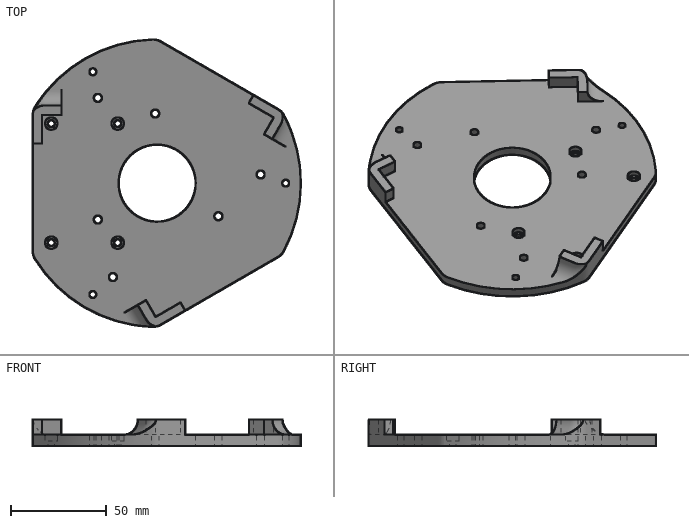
import cadquery as cq
import math

disc_radius = 75.0
plate_thickness = 6.0
flat_distance = disc_radius * math.cos(math.radians(30))
corner_radius = 8.0
bore_diameter = 40.0
third_turns = (0, 120, 240)

total_height = 14.0
stop_height = total_height - plate_thickness
stop_wall = 5.0
stop_length = 15.0
stop_width = 20.0
stop_outer_y = 40.5
ramp_radius = stop_height
stop_corner_radius = 8.0

hole_patterns = (
    (3.5, 67.0, 0.0),
    (4.0, 54.1, 4.8),
    (4.0, 36.3, -28.4),
)

screw_diameter = 3.5
counterbore_diameter = 6.5
counterbore_depth = 3.5
screw_columns = (-55.2, -20.5)
screw_row = 31.0


def turned(body, angle):
    """Rotate a body about the plate's vertical axis."""
    return body.rotate((0, 0, 0), (0, 0, 1), angle)


def outline_prism(height):
    """Plate outline, with rounded flat ends, extruded from the underside."""
    prism = cq.Workplane("XY").circle(disc_radius).extrude(height)
    cutter = cq.Workplane("XY").box(
        disc_radius, 2 * disc_radius, height, centered=(False, True, False)
    ).translate((-flat_distance - disc_radius, 0, 0))
    for angle in third_turns:
        prism = prism.cut(turned(cutter, angle))
    return prism.edges("|Z").fillet(corner_radius)


def ramp_profile(foot):
    """Concave triangular section on the YZ plane, upright side at Y = foot."""
    arc_offset = ramp_radius * (1 - math.sqrt(0.5))
    return (
        cq.Workplane("YZ")
        .moveTo(foot, 0)
        .lineTo(foot + ramp_radius, 0)
        .threePointArc((foot + arc_offset, arc_offset), (foot, stop_height))
        .close()
    )


def corner_stop(envelope):
    """L-shaped stop at the upper end of the -X flat, with its outer ramp."""
    arc_y = stop_outer_y - stop_corner_radius
    arc_x = -math.sqrt((disc_radius - stop_corner_radius) ** 2 - arc_y ** 2)
    inner_x = -flat_distance + stop_length
    left_x = arc_x - stop_corner_radius

    wall = (
        cq.Workplane("XY")
        .moveTo(left_x, stop_outer_y - stop_width)
        .lineTo(-flat_distance + stop_wall, stop_outer_y - stop_width)
        .lineTo(-flat_distance + stop_wall, stop_outer_y - stop_wall)
        .lineTo(inner_x, stop_outer_y - stop_wall)
        .lineTo(inner_x, stop_outer_y)
        .lineTo(arc_x, stop_outer_y)
        .radiusArc((left_x, arc_y), -stop_corner_radius)
        .close()
        .extrude(stop_height)
    )
    straight_ramp = ramp_profile(stop_outer_y).extrude(inner_x - arc_x).translate((arc_x, 0, 0))
    corner_ramp = (
        ramp_profile(stop_corner_radius)
        .revolve(90, (0, 0, 0), (0, 1, 0))
        .translate((arc_x, arc_y, 0))
    )
    stop = wall.union(straight_ramp).union(corner_ramp)
    return stop.translate((0, 0, plate_thickness)).intersect(envelope)


plate = outline_prism(plate_thickness)
stop = corner_stop(outline_prism(total_height))
for angle in third_turns:
    plate = plate.union(turned(stop, angle))

plate = plate.cut(cq.Workplane("XY").circle(bore_diameter / 2).extrude(plate_thickness))

for diameter, distance, start_angle in hole_patterns:
    holes = (
        cq.Workplane("XY")
        .polarArray(distance, start_angle, 360, len(third_turns))
        .circle(diameter / 2)
        .extrude(plate_thickness)
    )
    plate = plate.cut(holes)

screw_points = [(x, y) for x in screw_columns for y in (-screw_row, screw_row)]
result = (
    plate.copyWorkplane(cq.Workplane("XY", origin=(0, 0, plate_thickness)))
    .pushPoints(screw_points)
    .cboreHole(screw_diameter, counterbore_diameter, counterbore_depth)
)